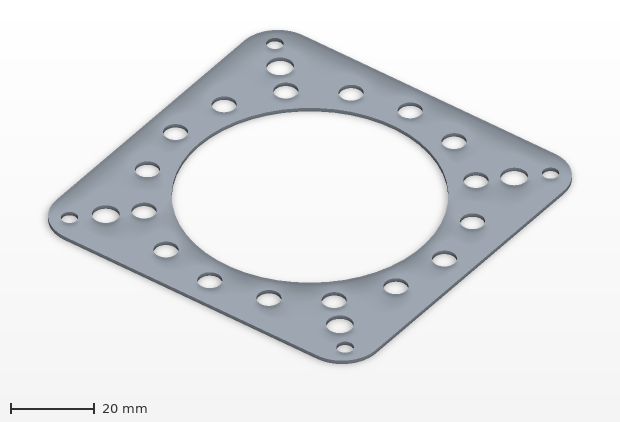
import cadquery as cq

side = 95.0
thickness = 1.0
corner_radius = 10.0
bore_diameter = 66.0

ring_hole_count = 16
ring_hole_diameter = 6.0
ring_radius = 40.0

inner_corner_diameter = 6.65
inner_corner_spacing = 69.6
outer_corner_diameter = 4.2
outer_corner_spacing = 82.0


def corner_holes(plate, spacing, diameter):
    """Cut one through hole near each corner of the plate."""
    pattern = plate.faces(">Z").workplane(origin=(0, 0, 0)).rarray(spacing, spacing, 2, 2)
    return pattern.hole(diameter)


plate = cq.Workplane("XY").box(side, side, thickness)
plate = plate.edges("|Z").fillet(corner_radius)

plate = plate.faces(">Z").workplane(origin=(0, 0, 0)).hole(bore_diameter)

ring = plate.faces(">Z").workplane(origin=(0, 0, 0)).polarArray(ring_radius, 0, 360, ring_hole_count)
plate = ring.hole(ring_hole_diameter)

plate = corner_holes(plate, inner_corner_spacing, inner_corner_diameter)
plate = corner_holes(plate, outer_corner_spacing, outer_corner_diameter)

result = plate